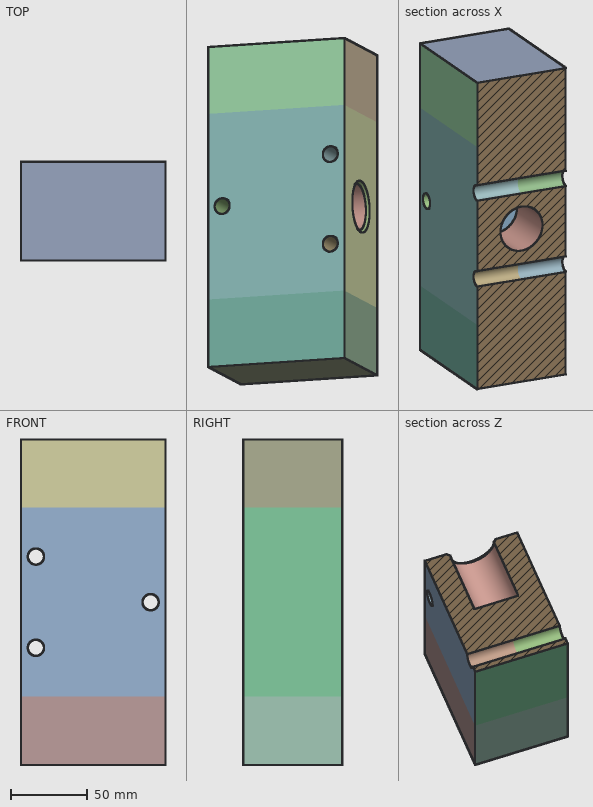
import cadquery as cq

width = 95.0
depth = 65.0
height = 214.0

cap_height = 45.0
body_height = height - 2 * cap_height

mount_diameter = 10.5
mount_x = 37.7
mount_z = 30.0

port_diameter = 30.4
mouth_diameter = 34.2
port_chamfer = (mouth_diameter - port_diameter) / 2
port_depth = width / 2


def make_block():
    """Middle body joined to its end caps, keeping the seams between them."""
    block = cq.Workplane("XY").box(width, depth, body_height)
    cap_centre_z = (body_height + cap_height) / 2
    for z in (-cap_centre_z, cap_centre_z):
        cap = cq.Workplane("XY").box(width, depth, cap_height).translate((0, 0, z))
        block = block.union(cap, clean=False)
    return block


def make_mount_holes():
    """Two holes on the -X side and one on the +X side."""
    centres = [(-mount_x, mount_z), (-mount_x, -mount_z), (mount_x, 0)]
    return (
        cq.Workplane("XZ")
        .pushPoints(centres)
        .circle(mount_diameter / 2)
        .extrude(depth, both=True)
    )


def make_port():
    """Flat-bottomed bore along X, widening at its mouth."""
    mouth_radius = mouth_diameter / 2
    bore_radius = port_diameter / 2
    mouth_x = -width / 2
    floor_x = mouth_x + port_depth
    profile = [
        (mouth_x, 0),
        (mouth_x, mouth_radius),
        (mouth_x + port_chamfer, bore_radius),
        (floor_x, bore_radius),
        (floor_x, 0),
    ]
    return cq.Workplane("XY").polyline(profile).close().revolve(360, (0, 0, 0), (1, 0, 0))


result = make_block().cut(make_mount_holes(), clean=False).cut(make_port(), clean=False)